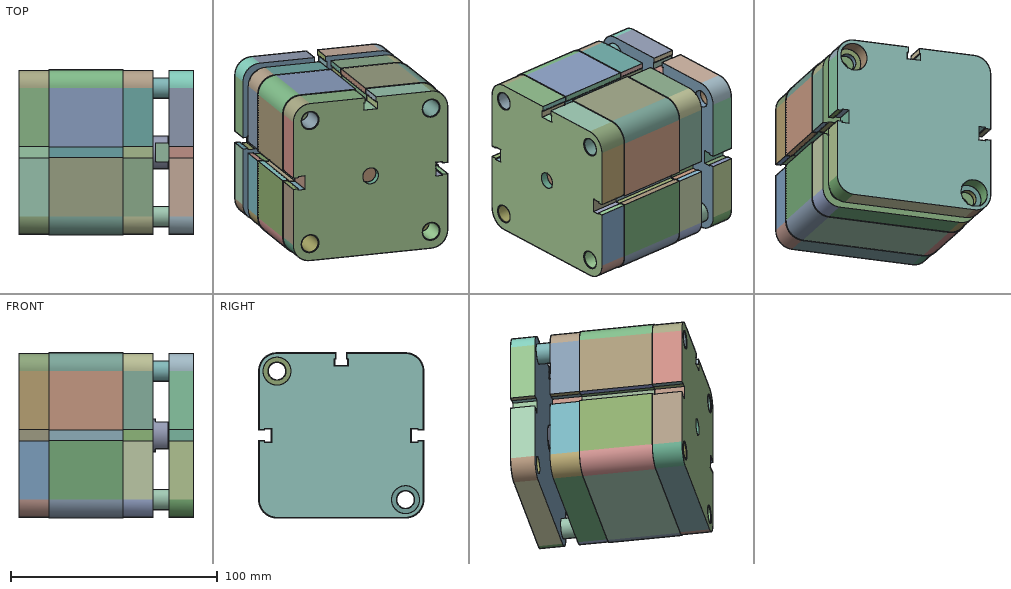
import cadquery as cq

cap_length = 14.5
barrel_length = 35.9
gap_length = 7.5
plate_thickness = 12.0
barrel_start = cap_length
front_cap_start = barrel_start + barrel_length
housing_end = front_cap_start + cap_length
plate_start = housing_end + gap_length
rod_length = plate_start - barrel_start

barrel_width = 80.0
cap_inset = 0.3
corner_spacing = 62.2
half_spacing = corner_spacing / 2

barrel_slot_opening = 5.0
barrel_slot_undercut = 6.2
slot_lip_depth = 2.95
barrel_slot_depth = 6.1

tie_hole_diameter = 8.45
tie_hole_chamfer = 0.3
centre_hole_diameter = 8.0
centre_hole_depth = 3.8
screw_hole_diameter = tie_hole_diameter
screw_hole_length = 3.4
screw_head_diameter = 13.5

guide_diameter = 10.0
piston_rod_diameter = 16.0
piston_rod_end_chamfer = 0.3
flat_width = 13.0
collar_length = 1.0
flat_root_radius = 0.5

guide_centres = [(half_spacing, half_spacing), (-half_spacing, -half_spacing)]
through_centres = [(-half_spacing, half_spacing), (half_spacing, -half_spacing)]


def cylinder_along_x(diameter, start, length, centre=(0, 0)):
    """Round bar along X, with its axis at the given (y, z)."""
    y, z = centre
    return cq.Workplane("YZ", origin=(start, y, z)).circle(diameter / 2).extrude(length)


def slot_cutter(start, length, inset):
    """T-slot in the +Z side, for a section that lies inset from the barrel surface."""
    surface = barrel_width / 2
    lip_bottom = surface - slot_lip_depth
    floor = surface - barrel_slot_depth - inset
    half_opening = barrel_slot_opening / 2 + inset
    half_undercut = barrel_slot_undercut / 2 + inset
    return (
        cq.Workplane("YZ", origin=(start, 0, 0))
        .moveTo(-half_opening, surface)
        .lineTo(-half_opening, lip_bottom)
        .lineTo(-half_undercut, lip_bottom)
        .lineTo(-half_undercut, floor)
        .lineTo(half_undercut, floor)
        .lineTo(half_undercut, lip_bottom)
        .lineTo(half_opening, lip_bottom)
        .lineTo(half_opening, surface)
        .close()
        .extrude(length)
    )


def slotted_block(start, length, inset):
    """Stretch of the rounded square section with its three T-slots."""
    width = barrel_width - 2 * inset
    corner_radius = (width - corner_spacing) / 2
    block = (
        cq.Workplane("YZ", origin=(start, 0, 0))
        .rect(width, width)
        .extrude(length)
        .edges("|X")
        .fillet(corner_radius)
    )
    slot = slot_cutter(start, length, inset)
    for angle in (-90, 0, 90):
        block = block.cut(slot.rotate((0, 0, 0), (1, 0, 0), angle))
    return block


def tie_hole_cutter(centre):
    """Hole through the whole housing, bevelled at its rear mouth."""
    y, z = centre
    mouth_radius = tie_hole_diameter / 2 + tie_hole_chamfer
    bevel = cq.Solid.makeCone(
        mouth_radius,
        tie_hole_diameter / 2,
        tie_hole_chamfer,
        pnt=cq.Vector(0, y, z),
        dir=cq.Vector(1, 0, 0),
    )
    return cylinder_along_x(tie_hole_diameter, 0, housing_end, centre).union(cq.Workplane(bevel))


def make_housing():
    """Two end caps and the slightly larger barrel, bored for the piston and guide rods."""
    housing = slotted_block(0, cap_length, cap_inset)
    housing = housing.union(slotted_block(barrel_start, barrel_length, 0))
    housing = housing.union(slotted_block(front_cap_start, cap_length, cap_inset))
    housing = housing.cut(cylinder_along_x(centre_hole_diameter, 0, centre_hole_depth))
    for centre in guide_centres + through_centres:
        housing = housing.cut(tie_hole_cutter(centre))
    bore_length = housing_end - barrel_start
    for centre in guide_centres:
        housing = housing.cut(cylinder_along_x(guide_diameter, barrel_start, bore_length, centre))
    return housing.cut(cylinder_along_x(piston_rod_diameter, barrel_start, bore_length))


def make_plate():
    """End plate with two screw holes, recessed from its outer face for the screw heads."""
    plate = slotted_block(plate_start, plate_thickness, cap_inset)
    recess_start = plate_start + screw_hole_length
    recess_length = plate_thickness - screw_hole_length
    for centre in through_centres:
        plate = plate.cut(cylinder_along_x(screw_hole_diameter, plate_start, plate_thickness, centre))
        plate = plate.cut(cylinder_along_x(screw_head_diameter, recess_start, recess_length, centre))
    return plate


def make_piston_rod():
    """Piston rod with two spanner flats in the gap and a bevelled end against the plate."""
    rod = cylinder_along_x(piston_rod_diameter, barrel_start, rod_length)
    rod = rod.faces(">X").chamfer(piston_rod_end_chamfer)
    collar_end = housing_end + collar_length
    flat_cutter = (
        cq.Workplane("XY", origin=(collar_end, 0, flat_width / 2))
        .box(gap_length, piston_rod_diameter, piston_rod_diameter, centered=(False, True, False))
        .edges("<X and <Z")
        .fillet(flat_root_radius)
    )
    return rod.cut(flat_cutter).cut(flat_cutter.mirror("XY"))


def make_guide_rod(centre):
    """Guide rod through the barrel and front cap, up to the plate."""
    return cylinder_along_x(guide_diameter, barrel_start, rod_length, centre)


housing = make_housing()
plate = make_plate()
piston_rod = make_piston_rod()
guide_rods = [make_guide_rod(centre) for centre in guide_centres]

result = cq.Compound.makeCompound(
    [housing.val(), plate.val(), piston_rod.val(), *[rod.val() for rod in guide_rods]]
)